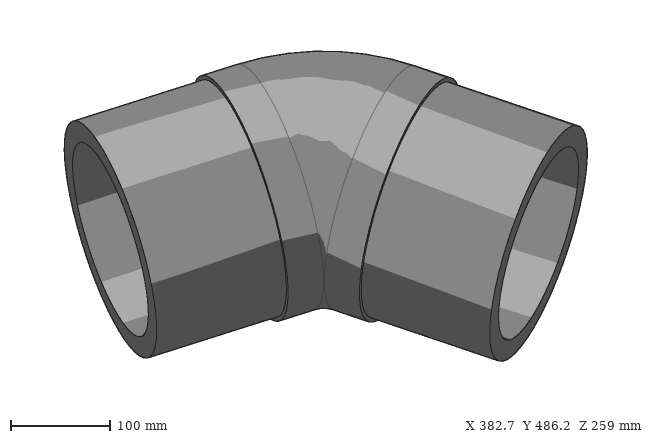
import cadquery as cq
import math

bend_angle = 45.0
pipe_diameter = 250.0
body_diameter = 259.0
bore_diameter = 204.5
spigot_length = 140.5
collar_length = 38.5
axis_clearance = 1.0

body_bend_radius = body_diameter / 2 + axis_clearance
bore_bend_radius = bore_diameter / 2 + axis_clearance

half_tangent = math.tan(math.radians(bend_angle / 2))
arm_length = body_bend_radius * half_tangent + collar_length + spigot_length

angle = math.radians(bend_angle)
outlet_direction = cq.Vector(math.sin(angle), math.cos(angle), 0)


def cylinder(diameter, start, length, direction):
    """Straight cylinder whose axis points from its start along a direction."""
    return cq.Workplane(cq.Solid.makeCylinder(diameter / 2, length, start, direction))


def elbow(diameter, bend_radius, end_distance):
    """Two straight arms and a circular bend, with the axes crossing at the origin."""
    tangent_length = bend_radius * half_tangent
    straight = end_distance - tangent_length
    inlet = cylinder(
        diameter, cq.Vector(0, -end_distance, 0), straight, cq.Vector(0, 1, 0)
    )
    bend = (
        cq.Workplane("XZ", origin=(0, -tangent_length, 0))
        .circle(diameter / 2)
        .revolve(bend_angle, (bend_radius, -5, 0), (bend_radius, -9.5, 0))
    )
    outlet = cylinder(
        diameter, outlet_direction * tangent_length, straight, outlet_direction
    )
    return inlet.union(bend).union(outlet)


def end_pipe(start, direction):
    """Solid pipe end standing out of the collar."""
    return cylinder(pipe_diameter, start, spigot_length, direction)


body = elbow(body_diameter, body_bend_radius, arm_length - spigot_length)
inlet_pipe = end_pipe(cq.Vector(0, -arm_length, 0), cq.Vector(0, 1, 0))
outlet_pipe = end_pipe(outlet_direction * (arm_length - spigot_length), outlet_direction)
bore = elbow(bore_diameter, bore_bend_radius, arm_length)

result = body.union(inlet_pipe).union(outlet_pipe).cut(bore)